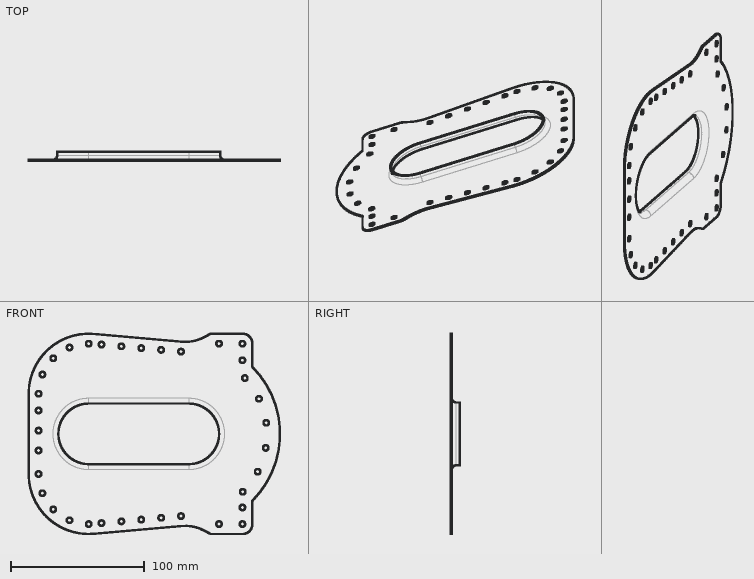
import cadquery as cq
import math

length = 188.3
height = 150.0
thickness = 1.0
half_length = length / 2
half_height = height / 2

corner_radius = 45.0
corner_x = -half_length + corner_radius
corner_z = half_height - corner_radius
taper_angle = math.radians(5.06)

tab_left_x = 42.2
tab_right_x = 73.5
tab_radius = 7.5
flare_angle = math.radians(28)
flare_radius = 30.0

bulge_half_height = 50.0
bulge_depth = half_length - tab_right_x
bulge_radius = (bulge_half_height**2 + bulge_depth**2) / (2 * bulge_depth)
bulge_x = half_length - bulge_radius

hole_diameter = 4.0
hole_margin = 7.5
corner_hole_step = 22.5
corner_hole_count = 5
left_hole_heights = (17.5, 2.5, -12.5)
taper_hole_x = -39.5
taper_hole_pitch = 14.9
taper_hole_count = 5
tab_hole_x = 48.4
tab_hole_drop = 12.5
bulge_hole_radius = 61.0
bulge_hole_start = 43.2
bulge_hole_step = 17.7
bulge_hole_count = 6

slot_x = -11.7
slot_straight = 75.0
slot_radius = 22.5
flange_depth = 7.0
bend_outer_radius = 4.1
bend_inner_radius = bend_outer_radius - thickness


def polar(center_x, center_z, radius, angle):
    """Point at an angle (radians) around a center."""
    return center_x + radius * math.cos(angle), center_z + radius * math.sin(angle)


def upper_half():
    """Half of the plate above the symmetry line Z = 0."""
    taper_start = polar(corner_x, corner_z, corner_radius, math.pi / 2 - taper_angle)
    corner_middle = polar(corner_x, corner_z, corner_radius, math.radians(135))

    run = tab_left_x - taper_start[0]
    rise = half_height - taper_start[1]
    back = (rise + run * math.tan(taper_angle)) / (math.tan(flare_angle) + math.tan(taper_angle))
    meet_x = tab_left_x - back
    meet_z = half_height - back * math.tan(flare_angle)

    tangent = flare_radius * math.tan((taper_angle + flare_angle) / 2)
    flare_start = polar(meet_x, meet_z, tangent, math.pi - taper_angle)
    flare_end = polar(meet_x, meet_z, tangent, flare_angle)

    tab_center = (tab_right_x - tab_radius, half_height - tab_radius)
    tab_middle = polar(*tab_center, tab_radius, math.radians(45))
    bulge_angle = math.atan2(bulge_half_height, tab_right_x - bulge_x)
    bulge_middle = polar(bulge_x, 0, bulge_radius, bulge_angle / 2)

    return (
        cq.Workplane("XZ")
        .moveTo(-half_length, 0)
        .lineTo(-half_length, corner_z)
        .threePointArc(corner_middle, taper_start)
        .lineTo(*flare_start)
        .tangentArcPoint(flare_end, relative=False)
        .lineTo(tab_left_x, half_height)
        .lineTo(tab_center[0], half_height)
        .threePointArc(tab_middle, (tab_right_x, tab_center[1]))
        .lineTo(tab_right_x, bulge_half_height)
        .threePointArc(bulge_middle, (half_length, 0))
        .close()
        .extrude(-thickness)
    )


def hole_points():
    """Centers of all the rivet holes."""
    mirrored = []
    for i in range(corner_hole_count):
        angle = math.radians(90 + i * corner_hole_step)
        mirrored.append(polar(corner_x, corner_z, corner_radius - hole_margin, angle))

    edge_z = corner_z + (corner_radius - hole_margin) / math.cos(taper_angle)
    for i in range(taper_hole_count):
        x = taper_hole_x + i * taper_hole_pitch
        mirrored.append((x, edge_z - (x - corner_x) * math.tan(taper_angle)))

    tab_hole_z = half_height - hole_margin
    tab_corner_x = tab_right_x - hole_margin
    mirrored.append((tab_hole_x, tab_hole_z))
    mirrored.append((tab_corner_x, tab_hole_z))
    mirrored.append((tab_corner_x, tab_hole_z - tab_hole_drop))

    points = mirrored + [(x, -z) for x, z in mirrored]
    points += [(-half_length + hole_margin, z) for z in left_hole_heights]
    for i in range(bulge_hole_count):
        angle = math.radians(bulge_hole_start - i * bulge_hole_step)
        points.append(polar(bulge_x, 0, bulge_hole_radius, angle))
    return points


def slot_prism(radius, depth):
    """Round-ended prism around the slot axis, from the front face backward."""
    return (
        cq.Workplane("XZ")
        .center(slot_x, 0)
        .slot2D(slot_straight + 2 * radius, 2 * radius)
        .extrude(-depth)
    )


def add_flanged_slot(plate):
    """Turn the rim of the slot backward, bent with a uniform wall thickness."""
    body = plate.union(slot_prism(slot_radius + thickness, flange_depth))
    rim_box = cq.selectors.BoxSelector(
        (slot_x - slot_straight, thickness / 2, -slot_radius - 2 * thickness),
        (slot_x + slot_straight, thickness * 2, slot_radius + 2 * thickness),
        boundingbox=True,
    )
    body = body.edges(rim_box).fillet(bend_inner_radius)
    opening = slot_prism(slot_radius, flange_depth)
    body = body.cut(opening)
    front_box = cq.selectors.BoxSelector(
        (slot_x - slot_straight, -thickness / 2, -slot_radius - thickness),
        (slot_x + slot_straight, thickness / 2, slot_radius + thickness),
        boundingbox=True,
    )
    return body.edges(front_box).fillet(bend_outer_radius)


half = upper_half()
plate = half.union(half.mirror("XY")).clean()
body = add_flanged_slot(plate)
holes = cq.Workplane("XZ").pushPoints(hole_points()).circle(hole_diameter / 2).extrude(-thickness)
result = body.cut(holes)